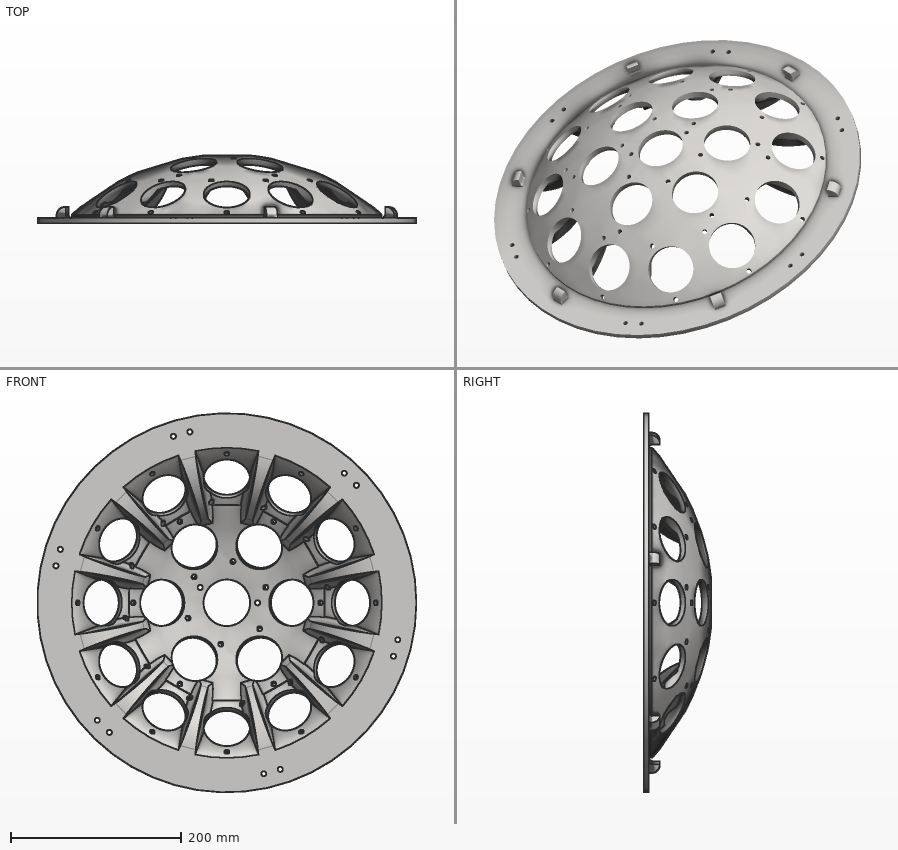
import cadquery as cq
import math

flange_radius = 223.0
flange_thickness = 6.2
total_depth = 80.0

dome_outer_radius = 268.5
dome_inner_radius = 260.5
dome_foot_radius = 182.5

opening_radius = 27.0
middle_ring_tilt = 17.0
outer_ring_tilt = 34.1
middle_ring_count = 6
outer_ring_count = 12
outer_ring_step = 360.0 / outer_ring_count

screw_diameter = 6.0
screw_offset = 36.0
screw_angles = (0.0, -150.0)
flange_screw_pairs = 6
flange_screw_radius = 205.5
flange_screw_half_angle = 2.8
flange_screw_first_angle = 45.0

rib_blank_width = 40.0
rib_crest_outer_radius = 176.0
rib_crest_end_radius = 101.5
rib_crest_end_depth = 47.0
rib_foot_radius = 95.0

pocket_inner_reach = 62.5
pocket_outer_reach = 71.5
wall_half_width = 30.5
wall_taper = 0.17
foot_half_width = 24.0
foot_taper = 0.3
foot_top_distance = 250.0
pocket_floor_radius = 261.5
floor_inner_offset = 36.0

hook_count = 6
hook_inner_radius = 192.2
hook_tip_radius = 194.5
hook_outer_radius = 205.5
hook_height = 13.0
hook_shoulder_height = 3.5
hook_width = 13.5
hook_first_angle = 15.0

centre_depth = total_depth - math.sqrt(dome_outer_radius**2 - opening_radius**2)

tool_start = 223.0
tool_length = 89.0


def sphere_depth(sphere_radius, radius):
    """Depth of a dome sphere at a distance from the Y axis."""
    return centre_depth + math.sqrt(sphere_radius**2 - radius**2)


def sphere_radius_at(sphere_radius, depth):
    """Distance of a dome sphere from the Y axis at a depth."""
    return math.sqrt(sphere_radius**2 - (depth - centre_depth) ** 2)


def turned(shape, angle):
    """Turn a shape about the Y axis, from +X towards +Z."""
    return shape.rotate((0, 0, 0), (0, 1, 0), -angle)


def ring_of(shape, count, first_angle=0.0):
    """Evenly spaced copies of a shape around the Y axis."""
    step = 360.0 / count
    copies = [turned(shape, first_angle + index * step).val() for index in range(count)]
    return cq.Workplane(cq.Compound.makeCompound(copies))


def dome_ball(radius):
    return cq.Workplane("XY").sphere(radius).translate((0, centre_depth, 0))


def light_plane(tilt, distance):
    """Plane square to the dome in the +X half; its x axis points away from the dome axis."""
    sine = math.sin(math.radians(tilt))
    cosine = math.cos(math.radians(tilt))
    origin = (distance * sine, centre_depth + distance * cosine, 0)
    return cq.Plane(origin=origin, xDir=(cosine, -sine, 0), normal=(sine, cosine, 0))


def make_shell():
    """Flange and dome in one turned section."""
    mouth_radius = sphere_radius_at(dome_inner_radius, 0)
    outer_mid = dome_foot_radius / 2
    inner_mid = mouth_radius / 2
    return (
        cq.Workplane("XY")
        .moveTo(mouth_radius, 0)
        .lineTo(flange_radius, 0)
        .lineTo(flange_radius, flange_thickness)
        .lineTo(dome_foot_radius, flange_thickness)
        .lineTo(dome_foot_radius, sphere_depth(dome_outer_radius, dome_foot_radius))
        .threePointArc(
            (outer_mid, sphere_depth(dome_outer_radius, outer_mid)),
            (0, sphere_depth(dome_outer_radius, 0)),
        )
        .lineTo(0, sphere_depth(dome_inner_radius, 0))
        .threePointArc((inner_mid, sphere_depth(dome_inner_radius, inner_mid)), (mouth_radius, 0))
        .close()
        .revolve(360, (0, 0, 0), (0, 1, 0))
    )


def make_rib():
    """Rib blank whose convex crest leaves the front face tangentially."""
    run = rib_crest_outer_radius - rib_crest_end_radius
    crest_radius = (run**2 + rib_crest_end_depth**2) / (2 * rib_crest_end_depth)
    half_sweep = math.asin(run / crest_radius) / 2
    crest_middle = (
        rib_crest_outer_radius - crest_radius * math.sin(half_sweep),
        crest_radius * (1 - math.cos(half_sweep)),
    )
    buried_radius = (dome_inner_radius + dome_outer_radius) / 2
    root_middle = (rib_foot_radius + dome_foot_radius) / 2
    return (
        cq.Workplane("XY")
        .moveTo(dome_foot_radius, 0)
        .lineTo(rib_crest_outer_radius, 0)
        .threePointArc(crest_middle, (rib_crest_end_radius, rib_crest_end_depth))
        .lineTo(rib_foot_radius, sphere_depth(dome_inner_radius, rib_foot_radius))
        .lineTo(rib_foot_radius, sphere_depth(buried_radius, rib_foot_radius))
        .threePointArc(
            (root_middle, sphere_depth(buried_radius, root_middle)),
            (dome_foot_radius, sphere_depth(buried_radius, dome_foot_radius)),
        )
        .close()
        .extrude(rib_blank_width / 2, both=True)
    )


def tapered_outline(tilt, distance, mid_half_width, taper):
    """Trapezoid that narrows towards the dome axis, square to the axis of an opening."""
    inner_half_width = mid_half_width - taper * pocket_inner_reach
    outer_half_width = mid_half_width + taper * pocket_outer_reach
    return (
        cq.Workplane(light_plane(tilt, distance))
        .moveTo(-pocket_inner_reach, -inner_half_width)
        .lineTo(pocket_outer_reach, -outer_half_width)
        .lineTo(pocket_outer_reach, outer_half_width)
        .lineTo(-pocket_inner_reach, inner_half_width)
        .close()
    )


def make_clearance():
    """Space around an outer opening: upright walls above, a sloped foot below."""
    top = tapered_outline(outer_ring_tilt, tool_start, wall_half_width, wall_taper)
    foot_top = tapered_outline(outer_ring_tilt, foot_top_distance, wall_half_width, wall_taper)
    foot_bottom = tapered_outline(outer_ring_tilt, pocket_floor_radius, foot_half_width, foot_taper)
    upright = top.extrude(foot_top_distance - tool_start)
    foot = cq.Solid.makeLoft([foot_top.wire().val(), foot_bottom.wire().val()], True)
    return upright.union(cq.Workplane(foot))


def make_pocket(clearance):
    """Part of the clearance that is sunk slightly into the inside of the dome."""
    floor_length = floor_inner_offset + pocket_outer_reach
    floor_region = (
        cq.Workplane(light_plane(outer_ring_tilt, tool_start))
        .center(floor_length / 2 - floor_inner_offset, 0)
        .rect(floor_length, 4 * wall_half_width)
        .extrude(tool_length)
    )
    return clearance.intersect(floor_region).intersect(dome_ball(pocket_floor_radius))


def make_opening(tilt):
    """Light opening with its two screw holes."""
    tool = cq.Workplane(light_plane(tilt, tool_start)).circle(opening_radius).extrude(tool_length)
    for angle in screw_angles:
        across = screw_offset * math.cos(math.radians(angle))
        along = screw_offset * math.sin(math.radians(angle))
        screw = (
            cq.Workplane(light_plane(tilt, tool_start))
            .center(across, along)
            .circle(screw_diameter / 2)
            .extrude(tool_length)
        )
        tool = tool.union(screw)
    return tool


def make_hook():
    """Hook on the back of the flange: round-topped outside, with a wider foot inside."""
    root_depth = flange_thickness / 2
    top_depth = flange_thickness + hook_height
    shoulder_depth = flange_thickness + hook_shoulder_height
    arc_middle = (
        hook_tip_radius + (hook_outer_radius - hook_tip_radius) * math.sin(math.radians(45)),
        shoulder_depth + (top_depth - shoulder_depth) * math.sin(math.radians(45)),
    )
    return (
        cq.Workplane("XY")
        .moveTo(hook_inner_radius, root_depth)
        .lineTo(hook_outer_radius, root_depth)
        .lineTo(hook_outer_radius, shoulder_depth)
        .threePointArc(arc_middle, (hook_tip_radius, top_depth))
        .lineTo(hook_tip_radius, shoulder_depth)
        .lineTo(hook_inner_radius, flange_thickness)
        .close()
        .extrude(hook_width / 2, both=True)
    )


def make_flange_screw():
    return (
        cq.Workplane("XZ")
        .center(flange_screw_radius, 0)
        .circle(screw_diameter / 2)
        .extrude(flange_thickness * 2, both=True)
    )


clearance = make_clearance()
rib_blank = turned(make_rib(), outer_ring_step / 2)
rib = rib_blank.cut(clearance).cut(turned(clearance, outer_ring_step))

body = make_shell()
body = body.union(ring_of(rib, outer_ring_count))
body = body.union(ring_of(make_hook(), hook_count, hook_first_angle))
body = body.cut(ring_of(make_pocket(clearance), outer_ring_count))
body = body.cut(ring_of(make_opening(outer_ring_tilt), outer_ring_count))
body = body.cut(ring_of(make_opening(middle_ring_tilt), middle_ring_count))
body = body.cut(make_opening(0))
for side in (-1, 1):
    first_angle = flange_screw_first_angle + side * flange_screw_half_angle
    body = body.cut(ring_of(make_flange_screw(), flange_screw_pairs, first_angle))

result = body